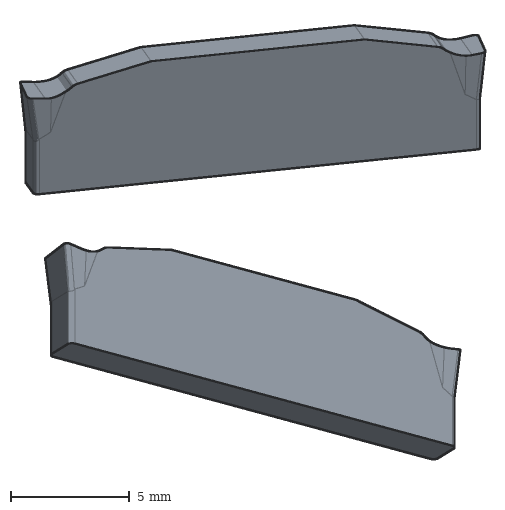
import cadquery as cq
import math


BLADE_WIDTH = 1.65
BLADE_LENGTH = 19.52
BLADE_END_Y = BLADE_LENGTH / 2
HEIGHT = 5.54
CORNER_RADIUS = 0.22

FLAT_END_Y = 4.66
SLOPE_ANGLE = 12.0
SLOPE_END_Y = 7.86
HOLLOW_REAR_Y, HOLLOW_REAR_Z = 8.11, 4.74
HOLLOW_FRONT_Y, HOLLOW_FRONT_Z = 9.32, 4.39
ENVELOPE_MARGIN = 1.0
RAKE_ANGLE = 7.0

TIP_Y = 10.095
TIP_Z = HOLLOW_FRONT_Z + (TIP_Y - HOLLOW_FRONT_Y) * math.tan(math.radians(RAKE_ANGLE))
TIP_WIDTH = 2.024
EDGE_SKEW_ANGLE = 5.0
END_BASE_Z = 2.43
LONG_SIDE_BASE_Z = 2.4
SHORT_SIDE_BASE_Z = 2.15
HEAD_BOTTOM_Z = 2.0
HEAD_TOP_Z = 4.8
HEAD_BREAK_Y = 9.05
HEAD_REAR_Y = 8.2
HEAD_CORNER_RADIUS = 0.2
EDGE_MARGIN = 0.2
BACK_TAPER = math.tan(math.radians(2.5))
REAR_TAPER = math.tan(math.radians(12.5))


def make_blade():
    block = cq.Workplane("XY").box(BLADE_WIDTH, BLADE_LENGTH, HEIGHT, centered=(True, True, False))
    return block.edges("|Z").fillet(CORNER_RADIUS)


def rise_from(base_z, z):
    """Height z as a fraction of the way from base_z up to the tip."""
    return (z - base_z) / (TIP_Z - base_z)


def half_width(y, z, side_base_z):
    """Half width of the head; the side leaves the blade at side_base_z, level with the blade end."""
    half_blade = BLADE_WIDTH / 2
    flare = (TIP_WIDTH / 2 - half_blade) - BACK_TAPER * (TIP_Y - BLADE_END_Y)
    return half_blade + rise_from(side_base_z, z) * flare + BACK_TAPER * (y - BLADE_END_Y)


def head_section(z):
    """Corner points of the -Y head at height z; the long side is on +X."""
    end_rise = rise_from(END_BASE_Z, z)
    skew_drop = TIP_WIDTH * math.tan(math.radians(EDGE_SKEW_ANGLE))
    long_y = BLADE_END_Y + end_rise * (TIP_Y - BLADE_END_Y)
    short_y = BLADE_END_Y + end_rise * (TIP_Y - skew_drop - BLADE_END_Y)

    long_break = half_width(HEAD_BREAK_Y, z, LONG_SIDE_BASE_Z)
    short_break = half_width(HEAD_BREAK_Y, z, SHORT_SIDE_BASE_Z)
    rear_narrowing = REAR_TAPER * (HEAD_BREAK_Y - HEAD_REAR_Y)
    return [
        (half_width(long_y, z, LONG_SIDE_BASE_Z), -long_y),
        (long_break, -HEAD_BREAK_Y),
        (long_break - rear_narrowing, -HEAD_REAR_Y),
        (rear_narrowing - short_break, -HEAD_REAR_Y),
        (-short_break, -HEAD_BREAK_Y),
        (-half_width(short_y, z, SHORT_SIDE_BASE_Z), -short_y),
    ]


def make_head():
    head = (
        cq.Workplane("XY")
        .workplane(offset=HEAD_BOTTOM_Z)
        .polyline(head_section(HEAD_BOTTOM_Z))
        .close()
        .workplane(offset=HEAD_TOP_Z - HEAD_BOTTOM_Z)
        .polyline(head_section(HEAD_TOP_Z))
        .close()
        .loft(ruled=True)
    )
    corner_zone = cq.selectors.BoxSelector(
        (-TIP_WIDTH, -TIP_Y, HEAD_BOTTOM_Z + EDGE_MARGIN),
        (TIP_WIDTH, -(HEAD_BREAK_Y + EDGE_MARGIN), HEAD_TOP_Z - EDGE_MARGIN),
    )
    return head.edges(corner_zone).fillet(HEAD_CORNER_RADIUS)


def make_half_envelope():
    """Space under the top contour on the +Y half, wider than the part in X."""
    slope_end_z = HEIGHT - (SLOPE_END_Y - FLAT_END_Y) * math.tan(math.radians(SLOPE_ANGLE))
    outer_y = TIP_Y + ENVELOPE_MARGIN
    outer_z = HOLLOW_FRONT_Z + (outer_y - HOLLOW_FRONT_Y) * math.tan(math.radians(RAKE_ANGLE))
    contour = (
        cq.Workplane("YZ")
        .moveTo(0, 0)
        .lineTo(outer_y, 0)
        .lineTo(outer_y, outer_z)
        .lineTo(HOLLOW_FRONT_Y, HOLLOW_FRONT_Z)
        .tangentArcPoint((HOLLOW_REAR_Y, HOLLOW_REAR_Z), relative=False)
        .tangentArcPoint((SLOPE_END_Y, slope_end_z), relative=False)
        .lineTo(FLAT_END_Y, HEIGHT)
        .lineTo(0, HEIGHT)
        .close()
    )
    return contour.extrude(TIP_WIDTH, both=True)


def half_turn(shape):
    return shape.rotate((0, 0, 0), (0, 0, 1), 180)


head = make_head()
half_envelope = make_half_envelope()
envelope = half_envelope.union(half_turn(half_envelope))
insert = make_blade().union(head).union(half_turn(head)).intersect(envelope)
result = cq.Workplane(insert.solids().val())